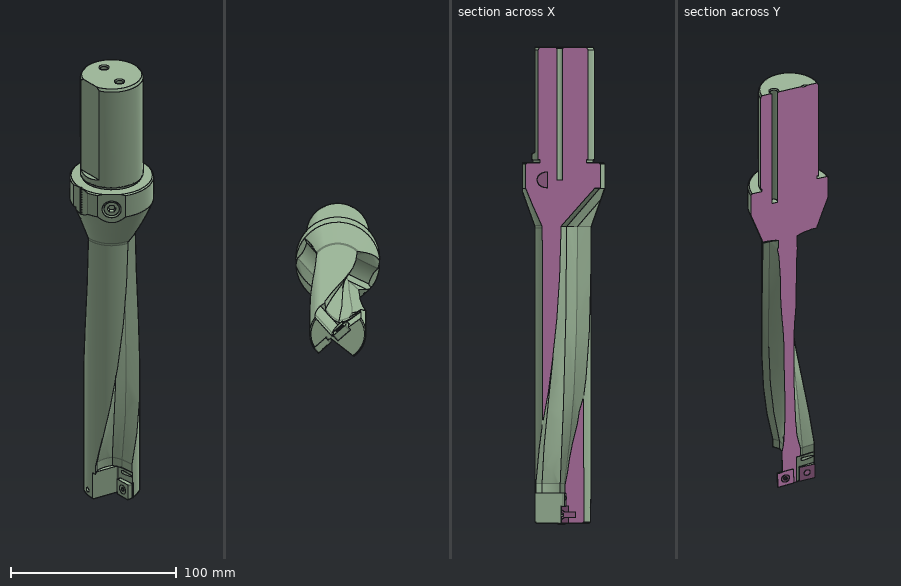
import cadquery as cq
import math


total_length = 288.0
tip_face_z = 1.0
helix_start_z = 24.8
cone_bottom_z = 179.7
flange_bottom_z = 202.7
flange_top_z = 218.3
shank_bottom_z = 220.0

drill_radius = 17.0
flange_radius = 25.3
cone_fillet = 4.5
neck_radius = 18.0
shank_radius = 19.0
edge_chamfer = 1.0
shank_chamfer_height = 1.7

shank_flat_y = -17.0
shank_flat_bottom_z = 224.5
shank_flat_runout = 1.2

front_flat_y = -24.5
mark_width = 1.0
mark_depth = 0.5
mark_overrun = 3.0
plug_flat_angle = -40.0
plug_flat_distance = 24.0

plug_z = 208.0
plug_radius = 4.5
plug_seat_radius = 5.8
plug_length = 8.5
plug_recess = 0.5
plug_socket_width = 5.2
plug_socket_depth = 3.5

coolant_radius = 2.3
coolant_chamfer = 0.72
coolant_orbit = 9.8
coolant_angle = 168.5

flute_twist = 78.0
twist_end_z = 190.0
flute_stations = 12
tip_lip_slope = 0.8
top_lip_slope = 0.2
floor_edge = (-8.5, -1.0)
floor_middle = (-5.5, 0.3)
floor_end = (-2.5, 1.7)
wall_middle = (-1.2, 7.0)
lip = (-1.5, 12.7)
cutter_reach = 28.8
cutter_reach_y = -3.2
runout_shift = (-3.2, -20.0)
runout_lip_flare = 0.6

gullet_top_z = 19.0
gullet_wall_x = 2.0
gullet_floor_x = 5.0
gullet_floor_y = 1.0
insert_size = 10.5
insert_thickness = 4.3
insert_corner = 0.5
cutting_face_offset = 1.2
outer_insert_x = 11.5
outer_insert_z = tip_face_z + insert_size / 2
inner_insert_x = -2.5
inner_insert_tilt = 3.0
tilt_reach = math.cos(math.radians(inner_insert_tilt)) + math.sin(math.radians(inner_insert_tilt))
inner_insert_z = (insert_size / 2 - insert_corner) * tilt_reach + insert_corner
screw_head_radius = 3.0
screw_radius = 1.5
screw_head_height = 2.0
screw_length = 8.5
screw_socket_radius = 1.2
screw_socket_depth = 1.2
coolant_groove_x = 9.0
coolant_groove_z = 16.0
coolant_groove_radius = 1.2
chip_relief_x = 3.5
chip_relief_end_x = -1.2
chip_relief_flat_z = 10.5


def half_turn(shape):
    return shape.rotate((0, 0, 0), (0, 0, 1), 180)


def turned_blank():
    top_r = shank_radius - edge_chamfer
    blank = (
        cq.Workplane("XZ")
        .moveTo(0, tip_face_z)
        .lineTo(drill_radius - edge_chamfer, tip_face_z)
        .lineTo(drill_radius, tip_face_z + edge_chamfer)
        .lineTo(drill_radius, cone_bottom_z)
        .lineTo(flange_radius, flange_bottom_z)
        .lineTo(flange_radius, flange_top_z - edge_chamfer)
        .lineTo(flange_radius - edge_chamfer, flange_top_z)
        .lineTo(neck_radius, flange_top_z)
        .lineTo(neck_radius, shank_bottom_z)
        .lineTo(shank_radius, shank_bottom_z)
        .lineTo(shank_radius, total_length - shank_chamfer_height)
        .lineTo(top_r, total_length)
        .lineTo(0, total_length)
        .close()
        .revolve(360, (0, 0, 0), (0, 1, 0))
    )
    cone_foot = blank.edges("%CIRCLE").edges(cq.NearestToPointSelector((0, 0, cone_bottom_z)))
    return cone_foot.fillet(cone_fillet)


def shank_flat_cut():
    return (
        cq.Workplane("YZ")
        .moveTo(shank_flat_y, total_length)
        .lineTo(shank_flat_y, shank_flat_bottom_z)
        .lineTo(-shank_radius, shank_flat_bottom_z - shank_flat_runout)
        .lineTo(-flange_radius, shank_flat_bottom_z - shank_flat_runout)
        .lineTo(-flange_radius, total_length)
        .close()
        .extrude(shank_radius, both=True)
    )


def flange_flat_cut(distance, angle):
    height = flange_top_z - cone_bottom_z
    block = cq.Workplane("XY").box(
        flange_radius, 2 * flange_radius, height, centered=(False, True, False)
    )
    return block.translate((distance, 0, cone_bottom_z)).rotate((0, 0, 0), (0, 0, 1), angle)


def index_mark():
    height = flange_top_z - flange_bottom_z + mark_overrun
    return cq.Workplane("XY").box(
        mark_width, 2 * mark_depth, height, centered=(True, True, False)
    ).translate((0, front_flat_y, flange_top_z - height))


def coolant_holes():
    depth = total_length - plug_z
    hole = cq.Workplane("XY").circle(coolant_radius).extrude(-depth)
    mouth = (
        cq.Workplane("XY").circle(coolant_radius + coolant_chamfer)
        .workplane(offset=-coolant_chamfer).circle(coolant_radius).loft()
    )
    tool = hole.union(mouth).translate((coolant_orbit, 0, total_length))
    first = tool.rotate((0, 0, 0), (0, 0, 1), coolant_angle)
    return first.union(half_turn(first))


def flute_section(z, shift=(0, 0), lip_flare=0.0):
    """Closed flute outline at height z, turned to its place on the helix.

    The lip leans in most at the tip, where it narrows the flute.
    """
    part_left = (twist_end_z - z) / (twist_end_z - helix_start_z)
    untwisted = min(part_left, 1.0) ** 2
    turn = flute_twist * (1 - untwisted)
    lip_slope = top_lip_slope + (tip_lip_slope - top_lip_slope) * untwisted - lip_flare
    wire = (
        cq.Workplane("XY")
        .moveTo(-cutter_reach, cutter_reach_y)
        .lineTo(*floor_edge)
        .threePointArc(floor_middle, floor_end)
        .threePointArc(wall_middle, lip)
        .lineTo(lip[0] - lip_slope * (cutter_reach - lip[1]), cutter_reach)
        .lineTo(-cutter_reach, cutter_reach)
        .close()
        .val()
    )
    wire = wire.rotate(cq.Vector(0, 0, 0), cq.Vector(0, 0, 1), turn)
    return wire.translate(cq.Vector(shift[0], shift[1], z))


def flute_cut():
    pitch = (cone_bottom_z - helix_start_z) / flute_stations
    helix_sections = [flute_section(helix_start_z + i * pitch) for i in range(flute_stations + 1)]
    helix = cq.Solid.makeLoft(helix_sections)
    lower = cq.Solid.makeLoft([flute_section(gullet_top_z), flute_section(helix_start_z)], True)
    runout_top = flute_section(flange_bottom_z, runout_shift, runout_lip_flare)
    runout = cq.Solid.makeLoft([flute_section(cone_bottom_z), runout_top], True)
    return [lower, helix, runout]


def gullet_cut():
    return (
        cq.Workplane("XY")
        .moveTo(-gullet_wall_x, cutter_reach)
        .lineTo(-gullet_wall_x, drill_radius)
        .lineTo(-gullet_floor_x, 0)
        .lineTo(-gullet_floor_x, -gullet_floor_y)
        .lineTo(-cutter_reach, cutter_reach_y)
        .lineTo(-cutter_reach, cutter_reach)
        .close()
        .extrude(gullet_top_z)
    )


def chip_relief_cut():
    """Clears the space in front of the inner insert, past the drill axis."""
    return (
        cq.Workplane("XZ")
        .moveTo(-gullet_floor_x, 0)
        .lineTo(chip_relief_x, 0)
        .lineTo(chip_relief_x, chip_relief_flat_z)
        .tangentArcPoint((chip_relief_end_x, gullet_top_z), relative=False)
        .lineTo(-gullet_floor_x, gullet_top_z)
        .close()
        .extrude(-cutter_reach)
        .translate((0, cutting_face_offset, 0))
    )


def coolant_groove():
    """Round-ended groove in the floor of the outer gullet, running out to the rim."""
    start = (coolant_groove_x, gullet_floor_y, coolant_groove_z)
    ball = cq.Workplane("XY").sphere(coolant_groove_radius).translate(start)
    run = cq.Workplane("YZ").circle(coolant_groove_radius).extrude(drill_radius).translate(start)
    return ball.union(run)


def inner_screw_outlet():
    """Continues the inner screw hole through to the -Y side of the body."""
    return at_inner(cq.Workplane("XZ").circle(screw_radius).extrude(-cutter_reach))


def insert_blank():
    """Square insert with its cutting face on y = 0, facing -Y."""
    return (
        cq.Workplane("XZ").rect(insert_size, insert_size).extrude(-insert_thickness)
        .edges("|Y").fillet(insert_corner)
    )


def screw_envelope():
    shaft = cq.Workplane("XZ").circle(screw_radius).extrude(-screw_length)
    head = (
        cq.Workplane("XZ").circle(screw_head_radius)
        .workplane(offset=-screw_head_height).circle(screw_radius).loft()
    )
    return shaft.union(head)


def screw_shape():
    socket = cq.Workplane("XZ").polygon(6, 2 * screw_socket_radius).extrude(-screw_socket_depth)
    return screw_envelope().cut(socket)


def at_outer(shape):
    return shape.translate((outer_insert_x, -cutting_face_offset, outer_insert_z))


def at_inner(shape):
    tilted = half_turn(shape).rotate((0, 0, 0), (0, 1, 0), -inner_insert_tilt)
    return tilted.translate((inner_insert_x, cutting_face_offset, inner_insert_z))


def at_plug(shape):
    return shape.translate((plug_flat_distance, 0, plug_z)).rotate((0, 0, 0), (0, 0, 1), plug_flat_angle)


def plug_seat():
    bore = cq.Workplane("YZ").circle(plug_radius).extrude(-plug_recess - plug_length)
    mouth = (
        cq.Workplane("YZ").circle(plug_seat_radius)
        .workplane(offset=-plug_recess).circle(plug_radius).loft()
    )
    return at_plug(bore.union(mouth))


def make_plug():
    screw = cq.Workplane("YZ").circle(plug_radius).extrude(-plug_length)
    socket = cq.Workplane("YZ").polygon(6, plug_socket_width).extrude(-plug_socket_depth)
    return at_plug(screw.cut(socket).translate((-plug_recess, 0, 0)))


def make_body():
    body = turned_blank().cut(shank_flat_cut())
    body = body.cut(flange_flat_cut(-front_flat_y, -90)).cut(index_mark())
    body = body.cut(flange_flat_cut(plug_flat_distance, plug_flat_angle))
    body = body.cut(coolant_holes()).cut(plug_seat())
    for tool in flute_cut():
        flute = cq.Workplane(obj=tool)
        body = body.cut(flute).cut(half_turn(flute))
    body = body.cut(gullet_cut()).cut(half_turn(gullet_cut())).cut(chip_relief_cut())
    body = body.cut(coolant_groove()).cut(inner_screw_outlet())
    for place in (at_outer, at_inner):
        body = body.cut(place(insert_blank())).cut(place(screw_envelope()))
    return body


body = make_body()
plug = make_plug()
inserts = [place(insert_blank().cut(screw_envelope())) for place in (at_outer, at_inner)]
screws = [place(screw_shape()) for place in (at_outer, at_inner)]
result = cq.Compound.makeCompound(
    [body.val(), plug.val()] + [part.val() for part in inserts] + [part.val() for part in screws]
)